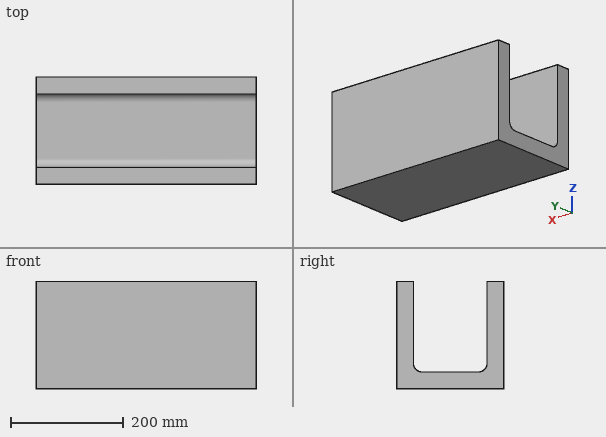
import cadquery as cq

length = 390.0
width = 190.0
height = 190.0
wall = 30.0
inner_radius = 15.0

body = cq.Workplane("XY").box(length, width, height, centered=(True, True, False))

trough = (
    cq.Workplane("XY")
    .workplane(offset=wall)
    .box(length, width - 2 * wall, height - wall, centered=(True, True, False))
    .edges("|X and <Z")
    .fillet(inner_radius)
)

result = body.cut(trough)